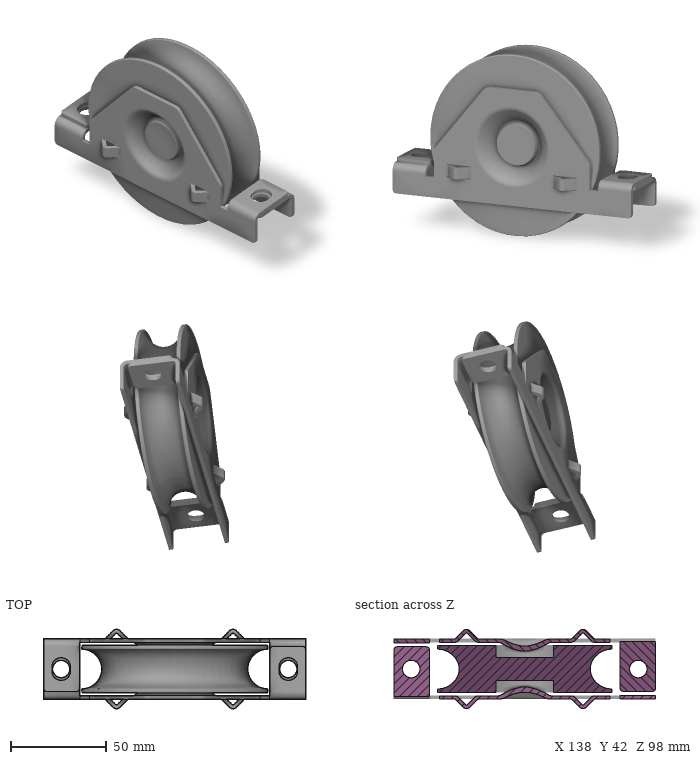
import cadquery as cq
import math


length = 138.0
bracket_width = 32.0
sheet = 2.1
bracket_bottom = -31.9
bottom_corner_radius = 2.0
face_y = -bracket_width / 2
inner_face_y = face_y + sheet

cheek_half_width = 45.0
cheek_top = 31.0
cheek_top_half_width = 15.2
cheek_shoulder = -5.4
cheek_corner_radius = 5.0

tab_length = 19.0
tab_bend_radius = sheet
tab_corner_radius = 2.0
upper_tab_top = -13.5
lower_tab_top = upper_tab_top - sheet
tab_reach = bracket_width - tab_bend_radius - sheet
notch_depth = 5.5
hole_x = 59.8
hole_diameter = 9.0
slot_width = 10.0
slot_length = 12.0

strap_x = 30.6
strap_height = 6.0
strap_window_height = 7.0
strap_window_length = 13.5
strap_peak_y = -21.0
strap_bend_radius = 0.4
strap_top = upper_tab_top

dish_diameter = 43.7
dish_floor_diameter = 25.4
dish_lip_radius = 3.5
wall_angle = math.radians(45)
wall_sine = math.sin(wall_angle)
lip_run = dish_lip_radius * wall_sine
lip_drop = dish_lip_radius * (1 - wall_sine)
dish_depth = lip_drop + (dish_diameter - dish_floor_diameter) / 2 - lip_run
dish_floor_y = face_y + dish_depth

shank_diameter = 16.8
head_diameter = 23.9
head_face_diameter = 22.0
head_height = 2.8

wheel_diameter = 98.0
wheel_width = 25.1
groove_radius = 10.4
groove_root_diameter = 77.0
rim_edge_radius = 0.5
recess_diameter = 45.0
hub_width = -2 * (dish_floor_y + sheet)


def block(x_range, y_range, z_range):
    """Box given by its limits along each axis."""
    limits = (x_range, y_range, z_range)
    size = [high - low for low, high in limits]
    corner = tuple(low for low, high in limits)
    return cq.Workplane("XY").box(*size, centered=False).translate(corner)


def make_plate():
    """Flat bracket face with its cheek, its relief notches and low strips to both ends."""
    end = length / 2
    upper_notch = upper_tab_top - notch_depth
    lower_notch = lower_tab_top - notch_depth
    outline = [
        (-end, bracket_bottom),
        (end, bracket_bottom),
        (end, upper_notch),
        (cheek_half_width, upper_notch),
        (cheek_half_width, cheek_shoulder),
        (cheek_top_half_width, cheek_top),
        (-cheek_top_half_width, cheek_top),
        (-cheek_half_width, cheek_shoulder),
        (-cheek_half_width, lower_notch),
        (-end, lower_notch),
    ]
    plate = cq.Workplane("XZ", origin=(0, inner_face_y, 0)).polyline(outline).close().extrude(sheet)

    def on_cheek_corner(edge):
        return edge.Center().z > upper_notch + cheek_corner_radius

    return plate.edges("|Y").filter(on_cheek_corner).fillet(cheek_corner_radius)


def make_tab(tab_top):
    """Bent end tab on the +X end, with its upright running down to the bracket bottom."""
    tab_end = length / 2
    tab_start = tab_end - tab_length
    free_y = face_y + tab_reach
    solid = block((tab_start, tab_end), (face_y, free_y), (bracket_bottom, tab_top))
    hollow = block((tab_start, tab_end), (inner_face_y, free_y), (bracket_bottom, tab_top - sheet))
    hollow = hollow.edges("|X and >Z and <Y").fillet(tab_bend_radius)
    tab = solid.edges("|X and >Z and <Y").fillet(tab_bend_radius + sheet).cut(hollow)
    return tab.edges("|Z and >Y").fillet(tab_corner_radius)


def make_strap():
    """Roof-shaped strap with 45 degree legs, centred on X = 0."""
    outer_radius = strap_bend_radius + sheet
    sharp_peak = strap_peak_y - outer_radius * (math.sqrt(2) - 1)
    inner_peak = sharp_peak + sheet * math.sqrt(2)
    outer_foot = face_y - sharp_peak
    inner_foot = inner_face_y - inner_peak
    end = strap_window_length / 2
    profile = [
        (-end, face_y),
        (-outer_foot, face_y),
        (0, sharp_peak),
        (outer_foot, face_y),
        (end, face_y),
        (end, inner_face_y),
        (inner_foot, inner_face_y),
        (0, inner_peak),
        (-inner_foot, inner_face_y),
        (-end, inner_face_y),
    ]
    base = cq.Workplane("XY", origin=(0, 0, strap_top - strap_height))
    strap = base.polyline(profile).close().extrude(strap_height)

    def upright_edges(points):
        corners = [cq.Vector(x, y, strap_top - strap_height / 2) for x, y in points]
        return lambda edge: any((edge.Center() - corner).Length < strap_bend_radius for corner in corners)

    inside_bends = upright_edges([profile[1], profile[3], profile[7]])
    outside_bends = upright_edges([profile[2], profile[6], profile[8]])
    strap = strap.edges("|Z").filter(inside_bends).fillet(strap_bend_radius)
    return strap.edges("|Z").filter(outside_bends).fillet(outer_radius)


def make_dish():
    """Pressed dish of constant sheet thickness with a hole for the rivet shank."""
    rim = dish_diameter / 2
    hole = shank_diameter / 2
    floor = dish_floor_diameter / 2
    lip_center_y = face_y + dish_lip_radius
    half_sine = math.sin(wall_angle / 2)
    half_cosine = math.cos(wall_angle / 2)
    back_radius = dish_lip_radius - sheet

    def lip_point(radius, sine, cosine):
        return rim - radius * sine, lip_center_y - radius * cosine

    profile = (
        cq.Workplane("XY")
        .moveTo(rim, face_y)
        .threePointArc(
            lip_point(dish_lip_radius, half_sine, half_cosine),
            lip_point(dish_lip_radius, wall_sine, wall_sine),
        )
        .lineTo(floor, dish_floor_y)
        .lineTo(hole, dish_floor_y)
        .lineTo(hole, dish_floor_y + sheet)
        .lineTo(floor + sheet * (math.sqrt(2) - 1), dish_floor_y + sheet)
        .lineTo(*lip_point(back_radius, wall_sine, wall_sine))
        .threePointArc(lip_point(back_radius, half_sine, half_cosine), (rim, inner_face_y))
        .close()
    )
    return profile.revolve(360, (0, 0), (0, 1))


def make_bracket():
    """Bracket on the -Y side: upper tab on the +X end, lower tab on the -X end."""
    half_window = strap_window_length / 2
    window_margin = (strap_window_height - strap_height) / 2
    sheet_span = (face_y, inner_face_y)

    bracket = make_plate()
    bracket = bracket.union(make_tab(upper_tab_top))
    bracket = bracket.union(make_tab(lower_tab_top).mirror("YZ"))
    bracket = bracket.edges("|Y and <Z").fillet(bottom_corner_radius)

    window_z = (strap_top - strap_height - window_margin, strap_top + window_margin)
    for x in (-strap_x, strap_x):
        bracket = bracket.cut(block((x - half_window, x + half_window), sheet_span, window_z))
        bracket = bracket.union(make_strap().translate((x, 0, 0)))

    opening = cq.Workplane("XZ", origin=(0, inner_face_y, 0)).circle(dish_diameter / 2).extrude(sheet)
    bracket = bracket.cut(opening).union(make_dish())

    slot = cq.Workplane("XY", origin=(hole_x, 0, upper_tab_top)).slot2D(slot_length, slot_width, 90)
    hole = cq.Workplane("XY", origin=(-hole_x, 0, lower_tab_top)).circle(hole_diameter / 2)
    return bracket.cut(slot.extrude(-sheet)).cut(hole.extrude(-sheet))


def make_rivet():
    """Shank through both dish floors, with a tapered head standing on each floor."""
    head_base_y = -dish_floor_y
    head_face_y = head_base_y + head_height
    half_profile = [
        (0, 0),
        (shank_diameter / 2, 0),
        (shank_diameter / 2, head_base_y),
        (head_diameter / 2, head_base_y),
        (head_face_diameter / 2, head_face_y),
        (0, head_face_y),
    ]
    half = cq.Workplane("XY").polyline(half_profile).close().revolve(360, (0, 0), (0, 1))
    return half.union(half.mirror("XZ"))


def make_wheel():
    """Wheel with a round rope groove, a recess for each dish and a hub on the rivet shank."""
    wheel = cq.Workplane("XZ").circle(wheel_diameter / 2).extrude(wheel_width / 2, both=True)
    groove_center = groove_root_diameter / 2 + groove_radius
    groove = cq.Solid.makeTorus(groove_center, groove_radius, dir=cq.Vector(0, 1, 0))
    wheel = wheel.cut(groove)
    rim_edges = cq.selectors.RadiusNthSelector(-1)
    wheel = wheel.edges(rim_edges).fillet(rim_edge_radius)
    for side in (-1, 1):
        recess = cq.Workplane("XZ", origin=(0, side * hub_width / 2, 0)).circle(recess_diameter / 2)
        wheel = wheel.cut(recess.extrude(-side * wheel_width))
    bore = cq.Workplane("XZ").circle(shank_diameter / 2).extrude(wheel_width, both=True)
    return wheel.cut(bore)


front_bracket = make_bracket()
brackets = [front_bracket.rotate((0, 0, 0), (0, 0, 1), turn) for turn in (0, 180)]
wheel = make_wheel()
rivet = make_rivet()

result = cq.Compound.makeCompound([bracket.val() for bracket in brackets] + [wheel.val(), rivet.val()])